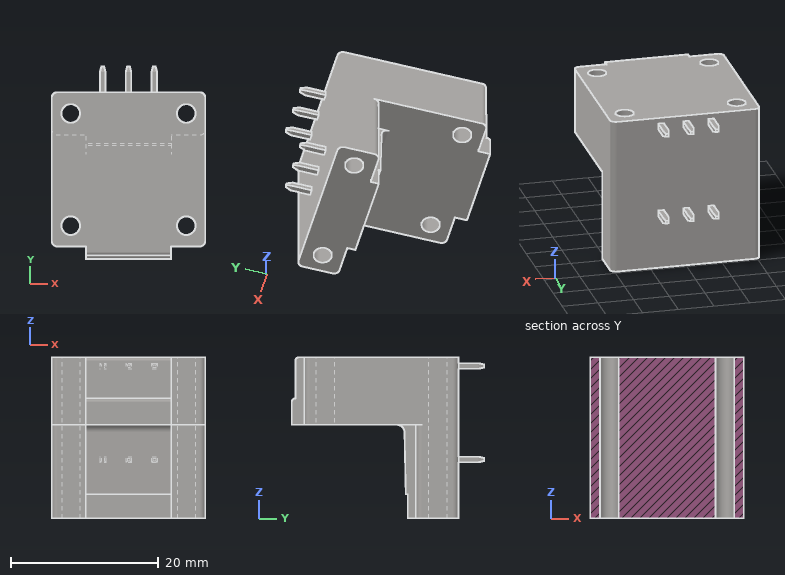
import cadquery as cq
import math

body_width = 20.9
body_depth = 21.0
body_height = 21.9
plate_height = 9.2
leg_depth = 5.8
corner_radius = 0.8

panel_width = 11.6
latch_upper_reach = 1.2
latch_step_drop = 5.6
latch_radius = 0.5
foot_depth = 6.95
foot_height = 3.25
panel_bottom_depth = 7.2
panel_draft = 1.2
inner_radius = 1.0

hole_diameter = 2.5
hole_pitch_x = 15.7
hole_pitch_y = 15.25
hole_rear_inset = 2.9

pin_size = 0.8
pin_length = 3.5
pin_root_depth = 0.8
pin_tip_length = 0.8
pin_tip_size = 0.4
pin_pitch = 3.5
pins_per_row = 3
pin_row_spacing = 12.7
upper_pin_drop = 1.2

plate_bottom = body_height - plate_height
hole_centre_y = -hole_rear_inset - hole_pitch_y / 2


def rounded_block(depth, bottom, height):
    """Full-width block from the rear face, with rounded vertical edges."""
    block = cq.Workplane("XY").box(body_width, depth, height, centered=(True, True, False))
    return block.edges("|Z").fillet(corner_radius).translate((0, -depth / 2, bottom))


def extrude_panel(profile):
    """Extrude a YZ profile symmetrically over the panel width."""
    return profile.close().extrude(panel_width / 2, both=True)


def make_latch():
    """Stepped, rounded strip that projects from the front of the plate."""
    rear = -leg_depth
    upper_front = -body_depth - latch_upper_reach
    lower_front = upper_front - latch_radius
    step_z = body_height - latch_step_drop
    diagonal = latch_radius * (1 - math.sqrt(0.5))
    top_arc_mid = (upper_front + diagonal, body_height - diagonal)
    step_arc_mid = (lower_front + diagonal, step_z - diagonal)
    profile = (
        cq.Workplane("YZ")
        .moveTo(rear, plate_bottom)
        .lineTo(rear, body_height)
        .lineTo(upper_front + latch_radius, body_height)
        .threePointArc(top_arc_mid, (upper_front, body_height - latch_radius))
        .lineTo(upper_front, step_z)
        .threePointArc(step_arc_mid, (lower_front, step_z - latch_radius))
        .lineTo(lower_front, plate_bottom)
    )
    return extrude_panel(profile)


def make_leg_panel():
    """Raised panel on the leg: a foot, a drafted face and a concave blend into the plate."""
    rear = -leg_depth / 2
    draft = math.radians(panel_draft)
    centre_z = plate_bottom - inner_radius
    tangent_z = centre_z + inner_radius * math.sin(draft)
    tangent_y = -panel_bottom_depth - (tangent_z - foot_height) * math.tan(draft)
    centre_y = tangent_y - inner_radius * math.cos(draft)
    mid_angle = (draft + math.pi / 2) / 2
    blend_mid = (
        centre_y + inner_radius * math.cos(mid_angle),
        centre_z + inner_radius * math.sin(mid_angle),
    )
    profile = (
        cq.Workplane("YZ")
        .moveTo(rear, 0)
        .lineTo(-foot_depth, 0)
        .lineTo(-foot_depth, foot_height)
        .lineTo(-panel_bottom_depth, foot_height)
        .lineTo(tangent_y, tangent_z)
        .threePointArc(blend_mid, (centre_y, plate_bottom))
        .lineTo(rear, plate_bottom)
    )
    return extrude_panel(profile)


def make_pin(x, z):
    """Square pin with a tapered tip, rooted in the leg."""
    shank_end = pin_length - pin_tip_length
    shank = (
        cq.Workplane("XY")
        .box(pin_size, pin_root_depth + shank_end, pin_size, centered=(True, False, True))
        .translate((x, -pin_root_depth, z))
    )
    tip = (
        cq.Workplane("XZ", origin=(x, shank_end, z))
        .rect(pin_size, pin_size)
        .workplane(offset=-pin_tip_length)
        .rect(pin_tip_size, pin_tip_size)
        .loft()
    )
    return shank.union(tip)


def make_holes():
    """Four vertical cylinders that pass through the whole body."""
    return (
        cq.Workplane("XY", origin=(0, hole_centre_y, 0))
        .rarray(hole_pitch_x, hole_pitch_y, 2, 2)
        .circle(hole_diameter / 2)
        .extrude(body_height)
    )


plate = rounded_block(body_depth, plate_bottom, plate_height)
leg = rounded_block(leg_depth, 0, body_height)
housing = plate.union(leg).union(make_latch()).union(make_leg_panel()).cut(make_holes())

upper_row_z = body_height - upper_pin_drop
for row_z in (upper_row_z, upper_row_z - pin_row_spacing):
    for index in range(pins_per_row):
        pin_x = (index - (pins_per_row - 1) / 2) * pin_pitch
        housing = housing.union(make_pin(pin_x, row_z))

result = housing